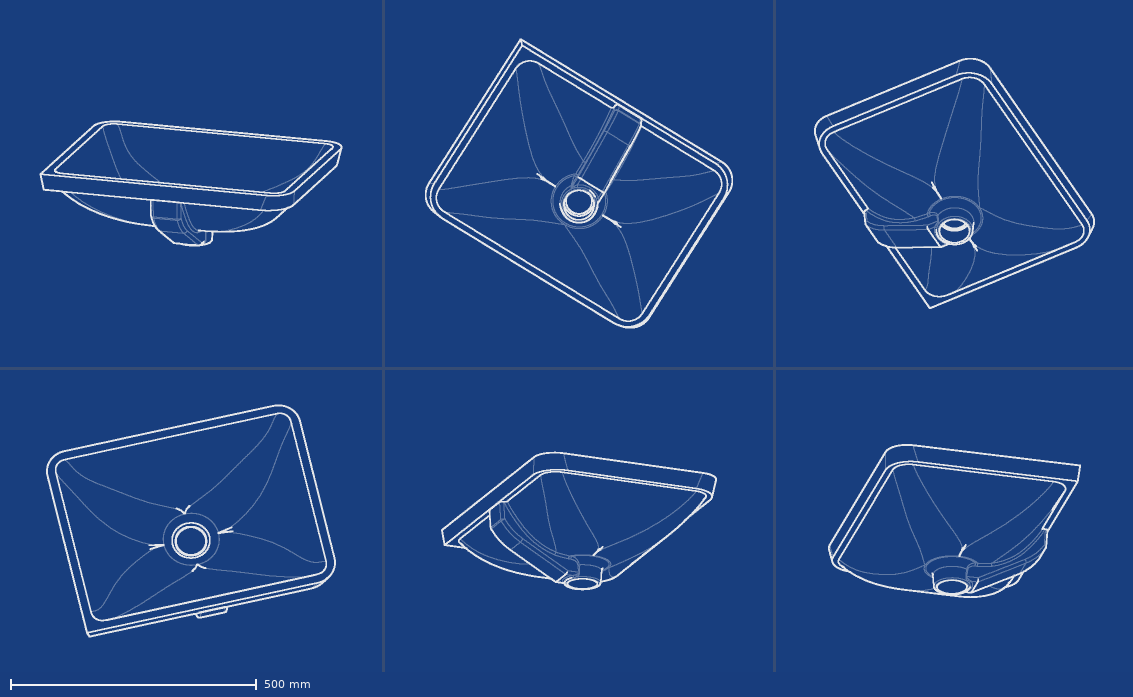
import cadquery as cq
import math


rim_length = 528.0
rim_width = 398.5
rim_depth = 34.0
rim_taper_x = 6.0
rim_taper_y = 3.5
rim_corner_top = 45.5
rim_corner_bottom = 54.0
rim_border = 18.5

well_radius = 57.0
well_corner = well_radius - 0.5
well_height = -120.5
well_curve_radius = 47.0
well_curve_height = -123.0
bowl_bottom = -132.0

inner_sections = [
    (rim_length / 2 - rim_border, rim_width / 2 - rim_border, 23.0, 0.0),
    (224.5, 163.0, 26.5, -42.0),
    (200.5, 143.5, 37.0, -70.0),
    (170.5, 120.0, 53.0, -91.0),
    (137.0, 97.5, 60.5, -105.5),
    (95.0, 77.0, 66.0, -115.0),
    (well_radius, well_radius, well_corner, well_height),
]
outer_sections = [
    (244.0, 181.5, 34.0, -rim_depth),
    (230.5, 170.0, 37.0, -53.0),
    (206.0, 148.5, 45.0, -80.0),
    (170.5, 121.0, 55.5, -105.5),
    (126.5, 87.5, 63.5, -123.5),
    (90.0, 68.5, 65.5, -129.5),
    (well_radius, well_radius, well_corner, bowl_bottom),
]

pipe_bottom = -175.0
pipe_top_radius = 39.0
pipe_bottom_radius = 37.0
pipe_blend = 15.0
pipe_edge_round = 3.0

flange_radius = 38.5
flange_height = -128.5
flange_bore_radius = 31.5
flange_bore_height = -131.0
plug_radius = 30.5
plug_rise = 6.0
plug_thickness = 3.0
lip_radius = 26.5
lip_thickness = 2.5
plug_seat = flange_bore_height - plug_thickness
flange_bottom = plug_seat - lip_thickness
drain_bore_radius = plug_radius

channel_width = 63.5
channel_edge_round = 6.5
channel_bowl_blend = 5.0
channel_foot = (-10.5, -169.0)
channel_slope_start = (-47.5, -169.0)
channel_bend_start = (-148.5, -113.0)
channel_bend_end = (-191.5, -72.0)
channel_top = (-195.0, -26.5)
channel_buried_top = (-169.0, -26.5)
channel_buried_middle = (-74.0, -108.0)
channel_buried_foot = (-10.5, -118.0)

diagonal = math.sqrt(0.5)


def rounded_rectangle(half_x, half_y, radius, height):
    """Closed wire of four sides and four corner arcs, centred on the Z axis."""
    side_x = half_x - radius
    side_y = half_y - radius
    middle_x = side_x + radius * diagonal
    middle_y = side_y + radius * diagonal
    outline = (
        cq.Workplane("XY", origin=(0, 0, height))
        .moveTo(half_x, -side_y)
        .lineTo(half_x, side_y)
        .threePointArc((middle_x, middle_y), (side_x, half_y))
        .lineTo(-side_x, half_y)
        .threePointArc((-middle_x, middle_y), (-half_x, side_y))
        .lineTo(-half_x, -side_y)
        .threePointArc((-middle_x, -middle_y), (-side_x, -half_y))
        .lineTo(side_x, -half_y)
        .threePointArc((middle_x, -middle_y), (half_x, -side_y))
        .close()
    )
    return outline.val()


def rim_outline(half_x, half_y, radius, height):
    """Closed wire with a square -X -Y corner and three rounded corners."""
    side_x = half_x - radius
    side_y = half_y - radius
    middle_x = side_x + radius * diagonal
    middle_y = side_y + radius * diagonal
    outline = (
        cq.Workplane("XY", origin=(0, 0, height))
        .moveTo(-half_x, -half_y)
        .lineTo(side_x, -half_y)
        .threePointArc((middle_x, -middle_y), (half_x, -side_y))
        .lineTo(half_x, side_y)
        .threePointArc((middle_x, middle_y), (side_x, half_y))
        .lineTo(-side_x, half_y)
        .threePointArc((-middle_x, middle_y), (-half_x, side_y))
        .close()
    )
    return outline.val()


def revolve_about_drain(profile):
    """Full turn of a closed XZ profile about the Z axis."""
    return profile.revolve(360, (0, 0), (0, 1))


def bowl_shape(sections):
    """Smooth solid through the rounded rectangles."""
    outlines = [rounded_rectangle(*section) for section in sections]
    return cq.Workplane(cq.Solid.makeLoft(outlines))


def rim_slab():
    half_x = rim_length / 2
    half_y = rim_width / 2
    top = rim_outline(half_x, half_y, rim_corner_top, 0)
    bottom = rim_outline(half_x - rim_taper_x, half_y - rim_taper_y, rim_corner_bottom, -rim_depth)
    return cq.Workplane(cq.Solid.makeLoft([top, bottom], ruled=True))


def drain_pipe():
    """Solid, slightly tapered pipe that flares into the bottom of the bowl."""
    flare_radius = pipe_top_radius + pipe_blend
    blend_dip = pipe_blend * (1 - diagonal)
    profile = (
        cq.Workplane("XZ")
        .moveTo(0, well_height)
        .lineTo(flare_radius, well_height)
        .lineTo(flare_radius, bowl_bottom)
        .threePointArc(
            (pipe_top_radius + blend_dip, bowl_bottom - blend_dip),
            (pipe_top_radius, bowl_bottom - pipe_blend),
        )
        .lineTo(pipe_bottom_radius, pipe_bottom)
        .lineTo(0, pipe_bottom)
        .close()
    )
    return revolve_about_drain(profile).faces("<Z").edges().fillet(pipe_edge_round)


def overflow_channel():
    """Solid box channel with rounded outer edges, running from the rim to the drain pipe."""
    profile = (
        cq.Workplane("YZ", origin=(-channel_width / 2, 0, 0))
        .moveTo(*channel_foot)
        .lineTo(*channel_slope_start)
        .lineTo(*channel_bend_start)
        .tangentArcPoint(channel_bend_end, relative=False)
        .lineTo(*channel_top)
        .lineTo(*channel_buried_top)
        .lineTo(*channel_buried_middle)
        .lineTo(*channel_buried_foot)
        .close()
    )
    channel = profile.extrude(channel_width)
    bend_corner = cq.NearestToPointSelector((0, *channel_bend_end))
    channel = channel.edges(bend_corner).fillet(channel_edge_round)
    return channel.faces("<X or >X").edges().fillet(channel_edge_round)


def drain_opening():
    """Cutter for the rounded well, the flange recess and the bore of the pipe."""
    profile = (
        cq.Workplane("XZ")
        .moveTo(0, well_height)
        .lineTo(well_radius, well_height)
        .threePointArc((well_curve_radius, well_curve_height), (flange_radius, flange_height))
        .lineTo(flange_radius, flange_bottom)
        .lineTo(drain_bore_radius, flange_bottom)
        .lineTo(drain_bore_radius, pipe_bottom)
        .lineTo(0, pipe_bottom)
        .close()
    )
    return revolve_about_drain(profile)


def make_basin():
    body = rim_slab().union(bowl_shape(outer_sections)).union(drain_pipe()).union(overflow_channel())
    body = body.faces("|X").edges("%BSPLINE").fillet(channel_bowl_blend)
    return body.cut(bowl_shape(inner_sections)).cut(drain_opening())


def make_drain_flange():
    """Ring with a sloping top and a lip that carries the plug."""
    profile = (
        cq.Workplane("XZ")
        .moveTo(flange_radius, flange_height)
        .lineTo(flange_radius, flange_bottom)
        .lineTo(lip_radius, flange_bottom)
        .lineTo(lip_radius, plug_seat)
        .lineTo(flange_bore_radius, plug_seat)
        .lineTo(flange_bore_radius, flange_bore_height)
        .close()
    )
    return revolve_about_drain(profile)


def make_plug():
    """Disc with a shallow spherical top."""
    dome_radius = (plug_radius**2 + plug_rise**2) / (2 * plug_rise)
    dome_top = flange_bore_height + plug_rise
    halfway = plug_radius / 2
    halfway_height = dome_top - dome_radius + math.sqrt(dome_radius**2 - halfway**2)
    profile = (
        cq.Workplane("XZ")
        .moveTo(0, plug_seat)
        .lineTo(plug_radius, plug_seat)
        .lineTo(plug_radius, flange_bore_height)
        .threePointArc((halfway, halfway_height), (0, dome_top))
        .close()
    )
    return revolve_about_drain(profile)


basin = make_basin()
drain_flange = make_drain_flange()
plug = make_plug()

result = cq.Compound.makeCompound([basin.val(), drain_flange.val(), plug.val()])